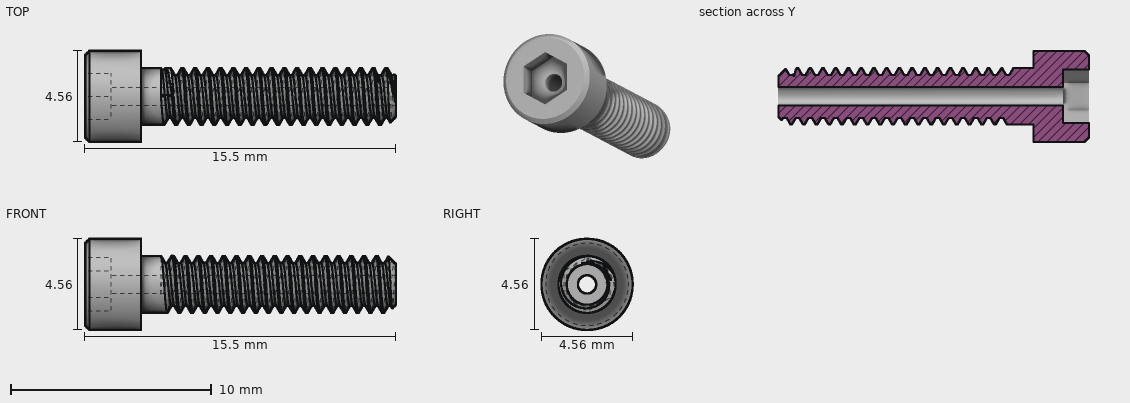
import cadquery as cq
import math

INCH = 25.4
X_AXIS = cq.Vector(1, 0, 0)
FULL_DEPTH_ANGLE = 90

head_diameter = 4.56
head_height = 0.11 * INCH
head_chamfer = 0.22
hex_across_flats = 2.3
hex_depth = 1.3

shank_diameter = 0.112 * INCH
shank_length = 0.5 * INCH
tip_chamfer = 0.41
vent_diameter = 0.9

pitch = INCH / 40
half_flank_angle = math.radians(30)
crest_flat = pitch / 8
root_flat = pitch / 4
flank_width = (pitch - crest_flat - root_flat) / 2
thread_depth = flank_width / math.tan(half_flank_angle)
full_thread_offset = 1.26
runout_turns = 0.33
groove_overlap = 0.01

total_length = head_height + shank_length
shank_radius = shank_diameter / 2
root_radius = shank_radius - thread_depth
full_thread_x = head_height + full_thread_offset
clearance = 0.01


def make_head():
    head = cq.Workplane("YZ").circle(head_diameter / 2).extrude(head_height)
    return head.faces("<X").chamfer(head_chamfer)


def make_shank():
    return cq.Workplane("YZ").circle(shank_radius).extrude(total_length)


def make_tip_chamfer():
    """Ring around the tip that bevels the end of the shank at 45 degrees."""
    inner_radius = shank_radius - tip_chamfer
    outer_radius = shank_radius + tip_chamfer
    bevel_start = total_length - tip_chamfer
    bevel_end = total_length + tip_chamfer
    corners = [
        (total_length, inner_radius),
        (bevel_start, shank_radius),
        (bevel_start, outer_radius),
        (bevel_end, outer_radius),
        (bevel_end, inner_radius),
    ]
    section = cq.Workplane("XY").polyline(corners).close()
    return section.revolve(360, (0, 0, 0), (1, 0, 0))


def make_socket():
    """Hexagonal socket with two corners on the Z axis."""
    half_side_angle = math.radians(30)
    hex_across_corners = hex_across_flats / math.cos(half_side_angle)
    outline = cq.Workplane("YZ").polygon(6, hex_across_corners)
    return outline.extrude(hex_depth).rotate((0, 0, 0), (1, 0, 0), 90)


def make_vent():
    return cq.Workplane("YZ").circle(vent_diameter / 2).extrude(total_length)


def sweep_groove(path):
    """Sweep the groove section, its root on the start of the path, keeping it facing the X axis."""
    start = path.startPoint()
    axis = cq.Edge.makeLine(cq.Vector(start.x, 0, 0), cq.Vector(path.endPoint().x, 0, 0))
    outward = cq.Vector(0, start.y, start.z).normalized()
    plane = cq.Plane(origin=start, xDir=X_AXIS, normal=X_AXIS.cross(outward))
    height = thread_depth + clearance
    half_root = root_flat / 2
    half_mouth = half_root + height * math.tan(half_flank_angle)
    corners = [(-half_root, 0), (half_root, 0), (half_mouth, height), (-half_mouth, height)]
    section = cq.Workplane(plane).polyline(corners).close()
    return section.sweep(cq.Workplane(path), auxSpine=cq.Workplane(axis))


def turn_start_to(path, angle):
    """Turn a helix about X so that it starts at the given angle from +Y towards +Z."""
    start = path.startPoint()
    present_angle = math.degrees(math.atan2(start.z, start.y))
    return path.rotate(cq.Vector(0, 0, 0), X_AXIS, angle - present_angle)


def make_full_groove():
    start_x = full_thread_x - groove_overlap * pitch
    length = total_length + pitch - start_x
    path = cq.Wire.makeHelix(pitch, length, root_radius, cq.Vector(start_x, 0, 0), X_AXIS)
    return sweep_groove(turn_start_to(path, FULL_DEPTH_ANGLE - 360 * groove_overlap))


def make_runout_groove():
    """Groove on a narrowing cone, from the shank surface down to the full-depth groove."""
    length = runout_turns * pitch
    cone_angle = math.atan2(thread_depth, length)
    slant_pitch = pitch / math.cos(cone_angle)
    slant_length = length / math.cos(cone_angle)
    start = cq.Vector(full_thread_x - length, 0, 0)
    path = cq.Wire.makeHelix(
        slant_pitch, slant_length, shank_radius, start, X_AXIS, -math.degrees(cone_angle)
    )
    return sweep_groove(turn_start_to(path, FULL_DEPTH_ANGLE - 360 * runout_turns))


shank = make_shank().cut(make_full_groove()).cut(make_runout_groove()).cut(make_tip_chamfer())
result = make_head().union(shank).cut(make_socket()).cut(make_vent())